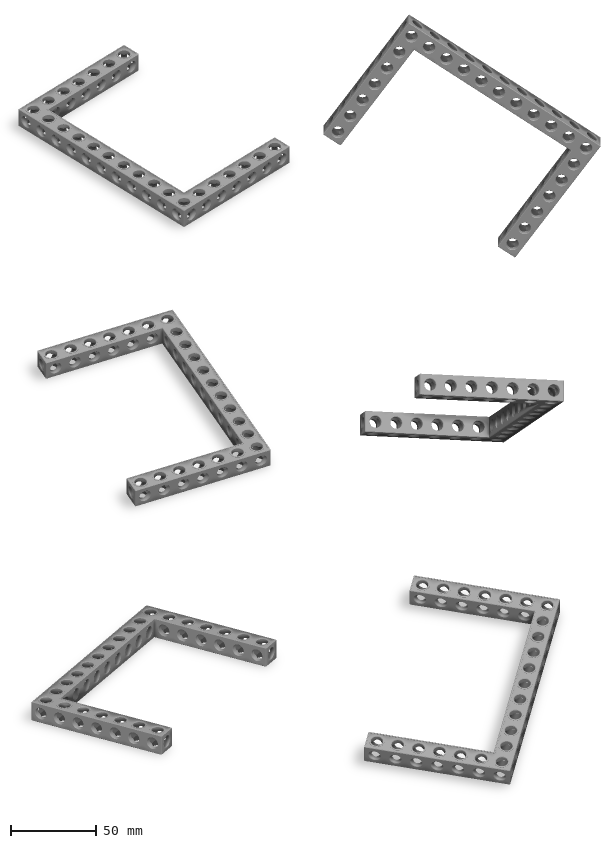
import cadquery as cq

length = 137.5
cells_x = 11
cells_y = 7
pitch = length / cells_x
width = cells_y * pitch
height = pitch

hole_diameter = 7.0
edge_chamfer = 0.3

recess_depth = 0.2
recess_margin = 1.0
hole_lip_diameter = 9.2

columns = [(i - (cells_x - 1) / 2) * pitch for i in range(cells_x)]
rows = [(j - (cells_y - 1) / 2) * pitch for j in range(cells_y)]


def make_u_plate(thickness, margin):
    """U-shaped plate opening toward +Y, centred on z = 0, its outline pulled inward by margin."""
    plate = cq.Workplane("XY").box(length - 2 * margin, width - 2 * margin, thickness)
    opening_length = length - 2 * pitch + 2 * margin
    opening_floor = rows[0] + pitch / 2 - margin
    opening = (
        cq.Workplane("XY")
        .box(opening_length, width, thickness)
        .translate((0, opening_floor + width / 2, 0))
    )
    return plate.cut(opening)


def make_body():
    """Solid U body with every edge chamfered except the two upright inner corners."""
    inner_corners = cq.selectors.BoxSelector(
        (columns[0], rows[0], -height),
        (columns[-1], rows[1], height),
    )
    body = make_u_plate(height, 0)
    rims = body.faces("<Z or >Z").edges()
    uprights = body.edges("|Z").edges(cq.selectors.InverseSelector(inner_corners))
    return rims.add(uprights).chamfer(edge_chamfer)


def make_recess(hole_centers):
    """Cutter for the top recess, with an island standing around each vertical hole."""
    panel = make_u_plate(recess_depth, recess_margin)
    islands = (
        cq.Workplane("XY")
        .pushPoints(hole_centers)
        .circle(hole_lip_diameter / 2)
        .extrude(recess_depth, both=True)
    )
    return panel.cut(islands).translate((0, 0, (height - recess_depth) / 2))


def make_holes(plane, centers, span):
    """Cutters normal to a plane: through holes with a chamfered rim at each end of the span."""
    radius = hole_diameter / 2
    rim_radius = radius + edge_chamfer
    end = span / 2
    profile = [
        (0, -end),
        (rim_radius, -end),
        (radius, edge_chamfer - end),
        (radius, end - edge_chamfer),
        (rim_radius, end),
        (0, end),
    ]
    hole = cq.Workplane("XZ").polyline(profile).close().revolve(360, (0, 0, 0), (0, 1, 0))
    return cq.Workplane(plane).pushPoints(centers).eachpoint(hole.val(), True)


base_centers = [(x, rows[0]) for x in columns]
arm_centers = [(x, y) for x in (columns[0], columns[-1]) for y in rows[1:]]
vertical_centers = base_centers + arm_centers

vertical_holes = make_holes("XY", vertical_centers, height)

base_hole_along_x = make_holes("YZ", [(rows[0], 0)], length)
arm_holes_along_x = make_holes("YZ", [(y, 0) for y in rows[1:]], pitch)

arm_holes_along_y = make_holes("XZ", [(columns[0], 0), (columns[-1], 0)], width)
base_holes_along_y = make_holes("XZ", [(x, 0) for x in columns[1:-1]], pitch)

result = (
    make_body()
    .cut(make_recess(vertical_centers))
    .cut(vertical_holes)
    .cut(base_hole_along_x)
    .cut(arm_holes_along_x.translate((columns[0], 0, 0)))
    .cut(arm_holes_along_x.translate((columns[-1], 0, 0)))
    .cut(arm_holes_along_y)
    .cut(base_holes_along_y.translate((0, rows[0], 0)))
)